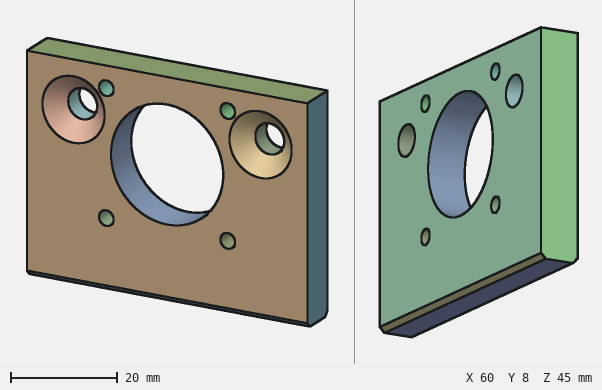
import cadquery as cq

width = 60.0
thickness = 8.0
height = 45.0
bottom_chamfer = 1.0

bore_diameter = 24.0
bore_drop = 17.5
small_hole_diameter = 3.1
small_hole_spacing = 26.0

mount_hole_diameter = 6.2
mount_sink_diameter = 13.3
mount_sink_angle = 90.0
mount_hole_spacing = 40.0
mount_hole_drop = 10.0

bore_z = height / 2 - bore_drop
mount_z = height / 2 - mount_hole_drop


def make_plate():
    """Plate centred on the origin, with both long bottom edges chamfered."""
    plate = cq.Workplane("XY").box(width, thickness, height)
    return plate.faces("<Z").edges("|X").chamfer(bottom_chamfer)


def on_front(plate, z):
    """Workplane on the -Y face, centred across the width at height z."""
    return plate.faces("<Y").workplane(origin=(0, -thickness / 2, z))


result = make_plate()
result = on_front(result, bore_z).hole(bore_diameter)
result = (
    on_front(result, bore_z)
    .rect(small_hole_spacing, small_hole_spacing, forConstruction=True)
    .vertices()
    .hole(small_hole_diameter)
)
result = (
    on_front(result, mount_z)
    .pushPoints([(-mount_hole_spacing / 2, 0), (mount_hole_spacing / 2, 0)])
    .cskHole(mount_hole_diameter, mount_sink_diameter, mount_sink_angle)
)